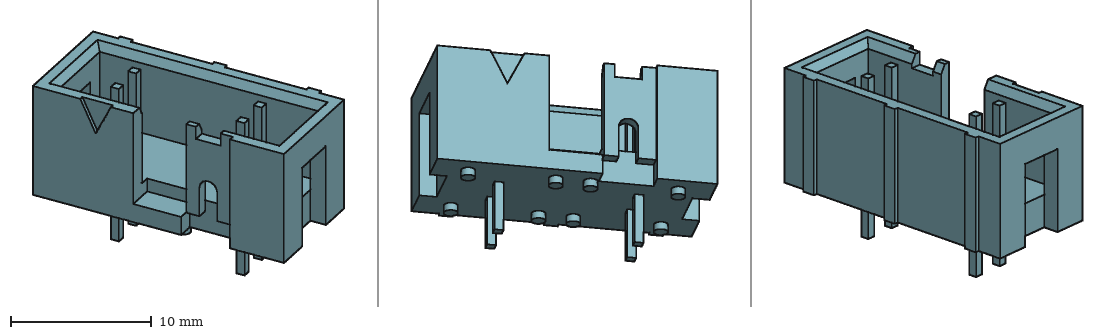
import cadquery as cq


LENGTH = 20.32
DEPTH = 8.9
HEIGHT = 8.9
SIDE_WALL = 1.25
LONG_WALL = 1.3
FLOOR = 2.55
LEAD_IN_WIDTH = 0.4
LEAD_IN_HEIGHT = 0.67

WINDOW_WIDTH = 3.5
WINDOW_TOP = 6.45

KEY_WIDTH = 4.06
KEY_DEPTH = 2.05
KEY_BOTTOM = 1.48

PANEL_LEFT = 1.83
PANEL_RIGHT = 5.8
PANEL_RECESS = 0.43
PANEL_BOTTOM = 1.67
ARCH_WIDTH = 1.42
ARCH_CENTRE = 3.8
ARCH_TOP = 4.71
NOTCH_WIDTH = 2.0
NOTCH_DEPTH = 1.0

MARK_WIDTH = 2.48
MARK_HEIGHT = 2.48
MARK_DEPTH = 0.3

RIB_WIDTH = 1.02
RIB_DEPTH = 0.3
RIB_PITCH = 7.62

PIN_SIZE = 0.65
PIN_TOP = 8.7
PIN_TAIL = 3.75
PIN_SPACING_X = 10.15
PIN_SPACING_Y = 2.55

STANDOFF_DIAMETER = 1.02
STANDOFF_HEIGHT = 0.57
STANDOFF_ROW_SPACING = 5.95
OUTER_STANDOFF_X = 7.62
INNER_STANDOFF_X = 1.25

MID_Y = DEPTH / 2


def block(x_range, y_range, z_range):
    """Box spanning the given (low, high) ranges."""
    sizes = [high - low for low, high in (x_range, y_range, z_range)]
    corner = (x_range[0], y_range[0], z_range[0])
    return cq.Workplane("XY").box(*sizes, centered=False).translate(corner)


def around(centre, width):
    """Range of the given width about a centre."""
    return (centre - width / 2, centre + width / 2)


def front_prism(sketch, depth):
    """Extrude a closed XZ outline from the front face into the body."""
    return sketch.extrude(-depth)


def cavity():
    length = LENGTH - 2 * SIDE_WALL
    depth = DEPTH - 2 * LONG_WALL
    well = block(around(0, length), around(MID_Y, depth), (FLOOR, HEIGHT))
    lead_in = (
        cq.Workplane("XY", origin=(0, MID_Y, HEIGHT - LEAD_IN_HEIGHT))
        .rect(length, depth)
        .workplane(offset=LEAD_IN_HEIGHT)
        .rect(length + 2 * LEAD_IN_WIDTH, depth + 2 * LEAD_IN_WIDTH)
        .loft(ruled=True)
    )
    return well.union(lead_in)


def end_windows():
    """Openings through both end walls, reaching down beside the floor block."""
    y_range = around(MID_Y, WINDOW_WIDTH)
    left = block((-LENGTH / 2, SIDE_WALL - LENGTH / 2), y_range, (0, WINDOW_TOP))
    return left.union(left.mirror("YZ"))


def key_slot():
    return block(around(0, KEY_WIDTH), (0, KEY_DEPTH), (KEY_BOTTOM, HEIGHT))


def panel_cuts():
    """Recess in front of the panel, the gap under it, its arch and its top notch."""
    x_range = (PANEL_LEFT, PANEL_RIGHT)
    recess = block(x_range, (0, PANEL_RECESS), (0, HEIGHT))
    gap = block(x_range, (0, LONG_WALL), (0, PANEL_BOTTOM))
    radius = ARCH_WIDTH / 2
    arch = front_prism(
        cq.Workplane("XZ")
        .moveTo(ARCH_CENTRE - radius, 0)
        .lineTo(ARCH_CENTRE - radius, ARCH_TOP - radius)
        .threePointArc((ARCH_CENTRE, ARCH_TOP), (ARCH_CENTRE + radius, ARCH_TOP - radius))
        .lineTo(ARCH_CENTRE + radius, 0)
        .close(),
        LONG_WALL,
    )
    notch = block(around(ARCH_CENTRE, NOTCH_WIDTH), (0, LONG_WALL), (HEIGHT - NOTCH_DEPTH, HEIGHT))
    return recess.union(gap).union(arch).union(notch)


def first_pin_mark():
    """Triangular pocket pointing down at the left front pin."""
    tip_x = -PIN_SPACING_X / 2
    left, right = around(tip_x, MARK_WIDTH)
    corners = [(left, HEIGHT), (right, HEIGHT), (tip_x, HEIGHT - MARK_HEIGHT)]
    return front_prism(cq.Workplane("XZ").polyline(corners).close(), MARK_DEPTH)


def back_ribs():
    ribs = cq.Workplane("XY")
    for x in (-RIB_PITCH, 0, RIB_PITCH):
        ribs = ribs.add(block(around(x, RIB_WIDTH), (DEPTH, DEPTH + RIB_DEPTH), (0, HEIGHT)))
    return ribs.combine()


def pins():
    return (
        cq.Workplane("XY", origin=(0, MID_Y, -PIN_TAIL))
        .rarray(PIN_SPACING_X, PIN_SPACING_Y, 2, 2)
        .rect(PIN_SIZE, PIN_SIZE)
        .extrude(PIN_TAIL + PIN_TOP)
    )


def standoffs():
    """Two rows of feet along the long walls."""
    row = STANDOFF_ROW_SPACING / 2
    columns = (-OUTER_STANDOFF_X, -INNER_STANDOFF_X, INNER_STANDOFF_X, OUTER_STANDOFF_X)
    centres = [(x, y) for x in columns for y in (-row, row)]
    return (
        cq.Workplane("XY", origin=(0, MID_Y, 0))
        .pushPoints(centres)
        .circle(STANDOFF_DIAMETER / 2)
        .extrude(-STANDOFF_HEIGHT)
    )


result = block(around(0, LENGTH), (0, DEPTH), (0, HEIGHT))
for cut in (cavity(), end_windows(), key_slot(), panel_cuts(), first_pin_mark()):
    result = result.cut(cut)
for addition in (back_ribs(), pins(), standoffs()):
    result = result.union(addition)